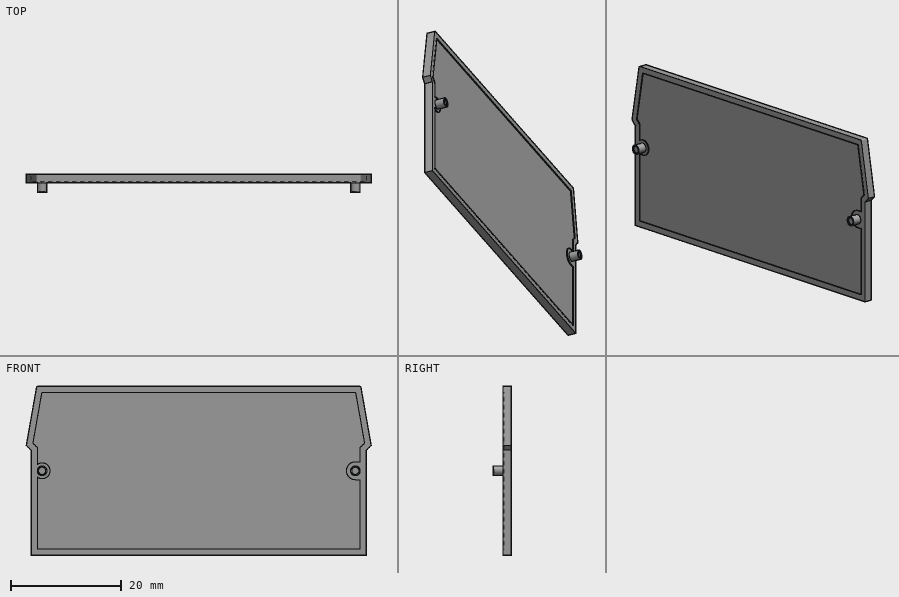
import cadquery as cq
import math

overall_width = 62.2
overall_height = 30.5
overall_depth = 3.3
plate_thickness = 1.55

lower_width = 60.45
shoulder_top_z = 4.6
taper_angle = 10.0
top_corner_radius = 0.3

rim_width = 1.1
recess_depth = 0.2

pin_spacing = 56.5
pin_z = 0.0
pin_diameter = 1.75
pin_bore_diameter = 1.3
pin_bore_depth = 0.2
left_pad_radius = 1.4
right_pad_radius = 1.6

half_width = overall_width / 2
half_height = overall_height / 2
half_lower_width = lower_width / 2
pin_x = pin_spacing / 2
pin_length = overall_depth - plate_thickness
recess_half_width = half_lower_width - rim_width


def front_plane(y):
    """Sketch plane facing -Y, with local axes along +X and +Z."""
    return cq.Workplane("XZ", origin=(0, y, 0))


def plate_outline(y):
    """Closed symmetric outline of the plate."""
    shoulder_bottom_z = shoulder_top_z - (half_width - half_lower_width)
    taper_run = (half_height - shoulder_top_z) * math.tan(math.radians(taper_angle))
    right_side = [
        (half_lower_width, -half_height),
        (half_lower_width, shoulder_bottom_z),
        (half_width, shoulder_top_z),
        (half_width - taper_run, half_height),
    ]
    left_side = [(-x, z) for x, z in reversed(right_side)]
    return front_plane(y).polyline(right_side + left_side).close()


def make_plate():
    """Plate with its front face at Y = 0 and rounded top corners."""
    plate = plate_outline(plate_thickness).extrude(plate_thickness)
    top_corners = plate.faces(">Z").edges("|Y")
    return top_corners.fillet(top_corner_radius)


def make_left_pad():
    """Round pad merging into the left rim."""
    return front_plane(recess_depth).center(-pin_x, pin_z).circle(left_pad_radius).extrude(recess_depth)


def make_right_pad():
    """Pad with a round inner end and straight sides running into the right rim."""
    link_length = recess_half_width - pin_x
    pad = front_plane(recess_depth).center(pin_x, pin_z).circle(right_pad_radius).extrude(recess_depth)
    link = (
        front_plane(recess_depth)
        .center(pin_x + link_length / 2, pin_z)
        .rect(link_length, 2 * right_pad_radius)
        .extrude(recess_depth)
    )
    return pad.union(link)


def make_recess():
    """Material removed from the front face, leaving the rim and the pin pads."""
    panel = plate_outline(recess_depth).offset2D(-rim_width, "intersection").extrude(recess_depth)
    return panel.cut(make_left_pad()).cut(make_right_pad())


def make_pin(x):
    """Round pin standing out of the front face, with a shallow bore in its tip."""
    pin = front_plane(0).center(x, pin_z).circle(pin_diameter / 2).extrude(pin_length)
    return pin.faces("<Y").workplane().hole(pin_bore_diameter, pin_bore_depth)


result = make_plate().cut(make_recess())
for x in (-pin_x, pin_x):
    result = result.union(make_pin(x))